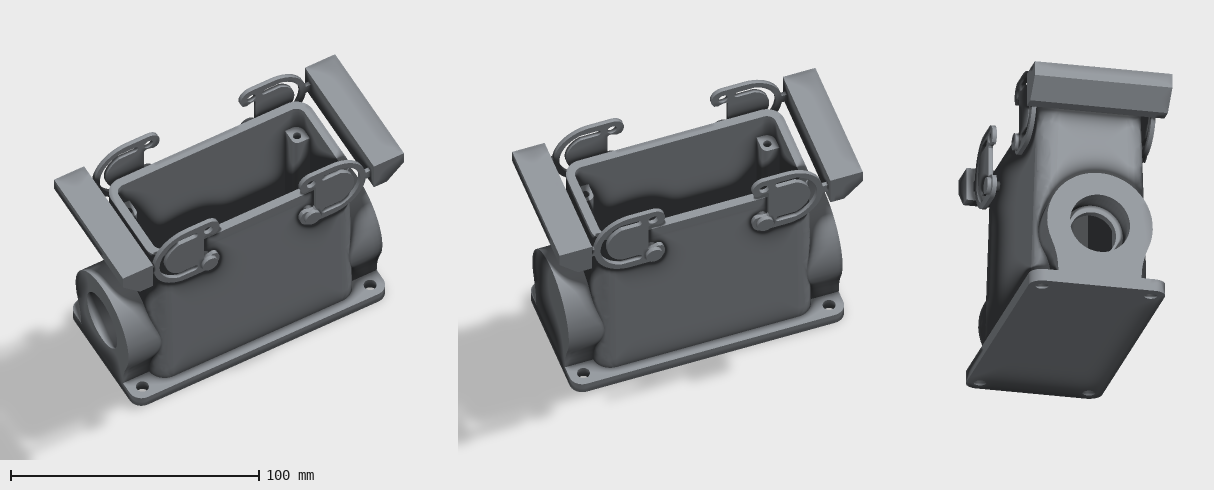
import cadquery as cq
import math

BASE_LENGTH = 117.0
BASE_WIDTH = 56.3
BASE_THICKNESS = 5.0
BASE_CORNER_RADIUS = 5.5
MOUNT_HOLE_X = 22.5
MOUNT_HOLE_Y = 52.5
MOUNT_HOLE_RADIUS = 2.6

BODY_LENGTH = 92.9
BODY_WIDTH_BOTTOM = 48.0
RIM_WIDTH = 43.3
RIM_BOTTOM = 78.6
RIM_TOP = 84.2
BODY_CORNER_RADIUS = 7.5
WALL = 3.6
CAVITY_LENGTH = BODY_LENGTH - 2 * WALL
CAVITY_WIDTH = RIM_WIDTH - 2 * WALL
CAVITY_CORNER_RADIUS = BODY_CORNER_RADIUS - WALL
FLOOR_Z = BASE_THICKNESS

PILLAR_INNER_X = 10.0
PILLAR_INNER_Y = 35.9
PILLAR_CORNER_RADIUS = 2.5
PILLAR_TOP = 72.0
PILLAR_HOLE_X = 13.5
PILLAR_HOLE_Y = 38.8
PILLAR_HOLE_RADIUS = 1.7

BOSS_RADIUS = 21.9
BOSS_CENTRE_Z = 27.2
BOSS_FOOT_HALF_WIDTH = 17.2
ENTRY_RADIUS = 12.4
ENTRY_INNER_RADIUS = 9.6

OVERALL_LENGTH = 129.5
CROSSBAR_LENGTH = 57.0
CROSSBAR_DEPTH = 13.9
CROSSBAR_TOP = 92.5
CROSSBAR_BOTTOM = RIM_BOTTOM
CROSSBAR_CHAMFER = 7.9
CROSSBAR_INNER_Y = OVERALL_LENGTH / 2 - CROSSBAR_DEPTH
PLATE_OUTER_X = 25.6
PLATE_THICKNESS = 1.8
PLATE_TOP = 100.0
PLATE_RADIUS = 15.5
PLATE_CENTRE_Y = 33.3
PLATE_CENTRE_Z = PLATE_TOP - PLATE_RADIUS
PLATE_EDGE_Y = 25.8
HOOK_RADIUS = 5.0
HOOK_CENTRE_Y = 23.7
HOOK_OFFSET_Z = PLATE_RADIUS - HOOK_RADIUS
HOOK_HOLE_RADIUS = 2.1
HOOK_LIP = 2.8
HOOK_LIP_BEVEL = 0.6
HOOK_TIP_Y = 2.2
HOOK_TIP_Z = 3.8
HOOK_TIP_ANGLE = math.radians(42)
SLOT_OUTER_RADIUS = 13.0
SLOT_INNER_RADIUS = 10.1
SLOT_OUTER_FLAT = 12.3
SLOT_INNER_FLAT = 9.3
SLOT_END_Y = 28.5
NECK_HEIGHT = 4.0
PIN_RADIUS = 2.2
PIN_HEAD_RADIUS = 3.5
PIN_HEAD_OUTER_X = 27.3

SIDES = (-1, 1)
QUADRANTS = [(sx, sy) for sx in SIDES for sy in SIDES]


def rounded_block(width, length, radius, bottom, top):
    """Upright block centred on the Z axis with rounded vertical edges."""
    block = cq.Workplane("XY").workplane(offset=bottom).rect(width, length).extrude(top - bottom)
    return block.edges("|Z").fillet(radius)


def rounded_outline(width, length, radius):
    return cq.Sketch().rect(width, length).vertices().fillet(radius)


def make_base():
    base = rounded_block(BASE_WIDTH, BASE_LENGTH, BASE_CORNER_RADIUS, 0, BASE_THICKNESS)
    holes = (
        cq.Workplane("XY")
        .pushPoints([(sx * MOUNT_HOLE_X, sy * MOUNT_HOLE_Y) for sx, sy in QUADRANTS])
        .circle(MOUNT_HOLE_RADIUS)
        .extrude(BASE_THICKNESS)
    )
    return base.cut(holes)


def make_drafted_block():
    """Outer shape of the wall, with the same corner radius at its foot and its top."""
    foot = rounded_outline(BODY_WIDTH_BOTTOM, BODY_LENGTH, BODY_CORNER_RADIUS)
    head = rounded_outline(RIM_WIDTH, BODY_LENGTH, BODY_CORNER_RADIUS)
    height = RIM_BOTTOM - BASE_THICKNESS
    return (
        cq.Workplane("XY")
        .workplane(offset=BASE_THICKNESS)
        .placeSketch(foot, head.moved(cq.Location(cq.Vector(0, 0, height))))
        .loft()
    )


def make_boss(side):
    """Round boss that narrows through two concave flares to a foot on the base plate."""
    rise = BOSS_CENTRE_Z - BASE_THICKNESS
    inset = BOSS_RADIUS - BOSS_FOOT_HALF_WIDTH
    flare_radius = (rise**2 - BOSS_RADIUS**2 + BOSS_FOOT_HALF_WIDTH**2) / (2 * inset)
    flare_x = BOSS_FOOT_HALF_WIDTH + flare_radius
    angle = math.atan2(rise, flare_x)
    tangent_x = BOSS_RADIUS * math.cos(angle)
    tangent_z = BOSS_CENTRE_Z - BOSS_RADIUS * math.sin(angle)
    middle_x = flare_x - flare_radius * math.cos(angle / 2)
    middle_z = BASE_THICKNESS + flare_radius * math.sin(angle / 2)
    outer_y = BASE_LENGTH / 2
    inner_y = CAVITY_LENGTH / 2
    start_y = -inner_y if side < 0 else outer_y
    return (
        cq.Workplane("XZ", origin=(0, start_y, 0))
        .moveTo(-BOSS_FOOT_HALF_WIDTH, 0)
        .lineTo(-BOSS_FOOT_HALF_WIDTH, BASE_THICKNESS)
        .threePointArc((-middle_x, middle_z), (-tangent_x, tangent_z))
        .threePointArc((0, BOSS_CENTRE_Z + BOSS_RADIUS), (tangent_x, tangent_z))
        .threePointArc((middle_x, middle_z), (BOSS_FOOT_HALF_WIDTH, BASE_THICKNESS))
        .lineTo(BOSS_FOOT_HALF_WIDTH, 0)
        .close()
        .extrude(outer_y - inner_y)
    )


def make_cable_entry():
    """Stepped bore through the -Y boss: wide up to the wall, narrow through the wall."""
    face = cq.Workplane("XZ", origin=(0, -BASE_LENGTH / 2, 0)).center(0, BOSS_CENTRE_Z)
    wide = face.circle(ENTRY_RADIUS).extrude(-(BASE_LENGTH - BODY_LENGTH) / 2)
    narrow = face.circle(ENTRY_INNER_RADIUS).extrude(-(BASE_LENGTH - CAVITY_LENGTH) / 2)
    return wide.union(narrow)


def make_pillars():
    """Four pillars that fill the cavity corners, each with a screw hole down to the floor."""
    height = PILLAR_TOP - FLOOR_Z
    span_x = CAVITY_WIDTH / 2 - PILLAR_INNER_X
    span_y = CAVITY_LENGTH / 2 - PILLAR_INNER_Y
    pillars = cq.Workplane("XY")
    for sx, sy in QUADRANTS:
        centre_x = sx * (PILLAR_INNER_X + span_x / 2)
        centre_y = sy * (PILLAR_INNER_Y + span_y / 2)
        free_edge = cq.selectors.NearestToPointSelector(
            (sx * PILLAR_INNER_X, sy * PILLAR_INNER_Y, FLOOR_Z + height / 2)
        )
        pillar = (
            cq.Workplane("XY")
            .workplane(offset=FLOOR_Z)
            .center(centre_x, centre_y)
            .rect(span_x, span_y)
            .extrude(height)
            .edges("|Z")
            .edges(free_edge)
            .fillet(PILLAR_CORNER_RADIUS)
        )
        pillars = pillars.add(pillar)
    holes = (
        cq.Workplane("XY")
        .workplane(offset=FLOOR_Z)
        .pushPoints([(sx * PILLAR_HOLE_X, sy * PILLAR_HOLE_Y) for sx, sy in QUADRANTS])
        .circle(PILLAR_HOLE_RADIUS)
        .extrude(height)
    )
    return pillars.combine().cut(holes)


def make_plate_outline(plane):
    """C-shaped plate of the +Y lever: round back, and a hook at the top and the bottom."""
    lip_z = HOOK_OFFSET_Z - HOOK_LIP
    tip_y = HOOK_CENTRE_Y - HOOK_TIP_Y
    tip_z = HOOK_OFFSET_Z - HOOK_TIP_Z
    nose_y = HOOK_CENTRE_Y - HOOK_RADIUS * math.cos(HOOK_TIP_ANGLE)
    nose_z = HOOK_OFFSET_Z - HOOK_RADIUS * math.sin(HOOK_TIP_ANGLE)
    bend_y = HOOK_CENTRE_Y - HOOK_RADIUS * math.sin(HOOK_TIP_ANGLE / 2)
    bend_z = HOOK_OFFSET_Z + HOOK_RADIUS * math.cos(HOOK_TIP_ANGLE / 2)
    return (
        plane.moveTo(PLATE_CENTRE_Y, PLATE_RADIUS)
        .lineTo(HOOK_CENTRE_Y, PLATE_RADIUS)
        .threePointArc((bend_y, bend_z), (nose_y, nose_z))
        .lineTo(tip_y, tip_z)
        .lineTo(HOOK_CENTRE_Y, lip_z)
        .lineTo(PLATE_EDGE_Y - HOOK_LIP_BEVEL, lip_z)
        .lineTo(PLATE_EDGE_Y, lip_z - HOOK_LIP_BEVEL)
        .lineTo(PLATE_EDGE_Y, HOOK_LIP_BEVEL - lip_z)
        .lineTo(PLATE_EDGE_Y - HOOK_LIP_BEVEL, -lip_z)
        .lineTo(HOOK_CENTRE_Y, -lip_z)
        .lineTo(tip_y, -tip_z)
        .lineTo(nose_y, -nose_z)
        .threePointArc((bend_y, -bend_z), (HOOK_CENTRE_Y, -PLATE_RADIUS))
        .lineTo(PLATE_CENTRE_Y, -PLATE_RADIUS)
        .threePointArc((PLATE_CENTRE_Y + PLATE_RADIUS, 0), (PLATE_CENTRE_Y, PLATE_RADIUS))
        .close()
    )


def make_slot_outline(plane):
    """Curved slot that follows the back of the plate and ends in two straight legs."""
    outer_y = PLATE_CENTRE_Y + math.sqrt(SLOT_OUTER_RADIUS**2 - SLOT_OUTER_FLAT**2)
    inner_y = PLATE_CENTRE_Y + math.sqrt(SLOT_INNER_RADIUS**2 - SLOT_INNER_FLAT**2)
    leg_z = (SLOT_OUTER_FLAT + SLOT_INNER_FLAT) / 2
    leg_y = SLOT_END_Y + (SLOT_OUTER_FLAT - SLOT_INNER_FLAT) / 2
    return (
        plane.moveTo(leg_y, SLOT_OUTER_FLAT)
        .lineTo(outer_y, SLOT_OUTER_FLAT)
        .threePointArc((PLATE_CENTRE_Y + SLOT_OUTER_RADIUS, 0), (outer_y, -SLOT_OUTER_FLAT))
        .lineTo(leg_y, -SLOT_OUTER_FLAT)
        .threePointArc((SLOT_END_Y, -leg_z), (leg_y, -SLOT_INNER_FLAT))
        .lineTo(inner_y, -SLOT_INNER_FLAT)
        .threePointArc((PLATE_CENTRE_Y + SLOT_INNER_RADIUS, 0), (inner_y, SLOT_INNER_FLAT))
        .lineTo(leg_y, SLOT_INNER_FLAT)
        .threePointArc((SLOT_END_Y, leg_z), (leg_y, SLOT_OUTER_FLAT))
        .close()
    )


def make_lever_side():
    """Plate, neck and pivot pin on the +X side of the +Y lever."""
    inner_x = PLATE_OUTER_X - PLATE_THICKNESS
    plane = cq.Workplane("YZ", origin=(inner_x, 0, PLATE_CENTRE_Z))
    plate = make_plate_outline(plane).extrude(PLATE_THICKNESS)
    plate = plate.cut(make_slot_outline(plane).extrude(PLATE_THICKNESS))
    hook_hole = plane.center(HOOK_CENTRE_Y, HOOK_OFFSET_Z).circle(HOOK_HOLE_RADIUS)
    plate = plate.cut(hook_hole.extrude(PLATE_THICKNESS))

    neck_start = PLATE_CENTRE_Y + (PLATE_RADIUS + SLOT_OUTER_RADIUS) / 2
    neck_length = CROSSBAR_INNER_Y - neck_start
    neck = plane.center(neck_start + neck_length / 2, 0).rect(neck_length, NECK_HEIGHT)
    plate = plate.union(neck.extrude(PLATE_THICKNESS))

    shaft_start_x = RIM_WIDTH / 2 - WALL / 2
    pin_z = PLATE_CENTRE_Z - HOOK_OFFSET_Z
    shaft = (
        cq.Workplane("YZ", origin=(shaft_start_x, HOOK_CENTRE_Y, pin_z))
        .circle(PIN_RADIUS)
        .extrude(PLATE_OUTER_X - shaft_start_x)
    )
    head = (
        cq.Workplane("YZ", origin=(PLATE_OUTER_X, HOOK_CENTRE_Y, pin_z))
        .circle(PIN_HEAD_RADIUS)
        .extrude(PIN_HEAD_OUTER_X - PLATE_OUTER_X)
    )
    return plate.union(shaft).union(head)


def make_crossbar():
    """Handle bar of the +Y lever, bevelled along its lower outer edge."""
    outer_y = OVERALL_LENGTH / 2
    return (
        cq.Workplane("YZ", origin=(-CROSSBAR_LENGTH / 2, 0, 0))
        .moveTo(CROSSBAR_INNER_Y, CROSSBAR_BOTTOM)
        .lineTo(outer_y - CROSSBAR_CHAMFER, CROSSBAR_BOTTOM)
        .lineTo(outer_y, CROSSBAR_BOTTOM + CROSSBAR_CHAMFER)
        .lineTo(outer_y, CROSSBAR_TOP)
        .lineTo(CROSSBAR_INNER_Y, CROSSBAR_TOP)
        .close()
        .extrude(CROSSBAR_LENGTH)
    )


def make_lever():
    lever_side = make_lever_side()
    return make_crossbar().union(lever_side).union(lever_side.mirror("YZ"))


def make_cavity():
    return rounded_block(CAVITY_WIDTH, CAVITY_LENGTH, CAVITY_CORNER_RADIUS, FLOOR_Z, RIM_TOP)


def make_housing():
    """Base plate, leaning wall, cable bosses, pillars and both levers in one piece."""
    housing = make_base().union(make_drafted_block())
    for side in SIDES:
        housing = housing.union(make_boss(side))
    cavity = make_cavity()
    housing = housing.cut(cavity).cut(make_cable_entry())
    housing = housing.union(make_pillars().intersect(cavity))
    lever = make_lever()
    return housing.union(lever).union(lever.mirror("XZ"))


def make_rim():
    """Upright frame that sits on top of the housing wall."""
    frame = rounded_block(RIM_WIDTH, BODY_LENGTH, BODY_CORNER_RADIUS, RIM_BOTTOM, RIM_TOP)
    return frame.cut(make_cavity())


housing = make_housing()
rim = make_rim()

result = cq.Compound.makeCompound([housing.val(), rim.val()])